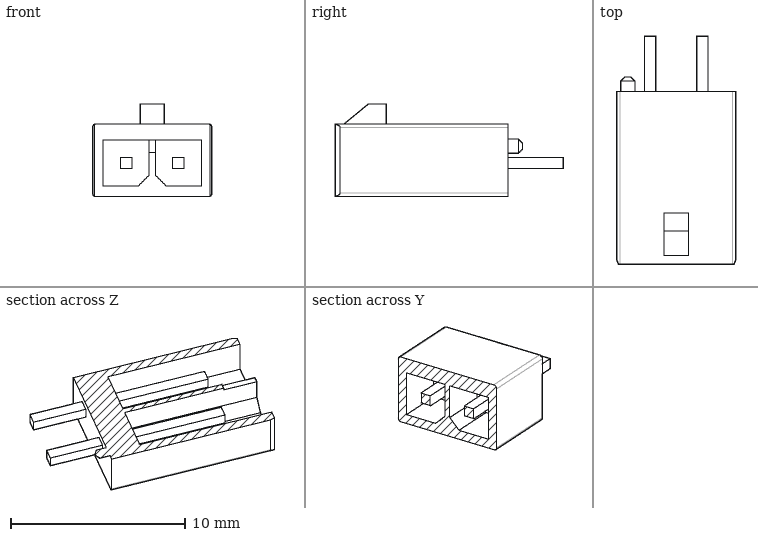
import cadquery as cq


body_width = 6.85
body_length = 9.92
body_height = 4.18
edge_radius = 0.2
lead_in_inset = 0.1
lead_in_length = 0.28

cavity_width = 5.64
cavity_height = 2.64
cavity_floor = 0.6
cavity_depth = 8.0
rib_thickness = 0.35
rib_foot = 0.64
rib_notch_height = 0.7
rib_notch_depth = 2.0

pin_pitch = 3.0
pin_size = 0.65
pin_height = 1.93
pin_tail_length = 3.17
pin_recess = 2.5

latch_width = 1.4
latch_height = 1.15
latch_toe = 0.51
latch_crest = 1.91
latch_heel = 2.93

peg_diameter = 0.84
peg_length = 0.84
peg_chamfer = 0.25
peg_x = -2.78
peg_height = 2.9

cavity_top = cavity_floor + cavity_height


def make_housing():
    """Block with rounded long edges and slightly tapered sides at the mating face."""
    block = cq.Workplane("XY").box(body_width, body_length, body_height, centered=(True, False, False))
    block = block.edges("|Y").fillet(edge_radius)
    half_width = body_width / 2
    face_half_width = half_width - lead_in_inset
    plan = (
        cq.Workplane("XY")
        .moveTo(-face_half_width, 0)
        .lineTo(face_half_width, 0)
        .lineTo(half_width, lead_in_length)
        .lineTo(half_width, body_length)
        .lineTo(-half_width, body_length)
        .lineTo(-half_width, lead_in_length)
        .close()
        .extrude(body_height)
    )
    return block.intersect(plan)


def make_pocket(side):
    """One contact pocket; side is -1 for the left and +1 for the right of the rib."""
    outer_x = side * cavity_width / 2
    rib_x = side * rib_thickness / 2
    foot_x = rib_x + side * rib_foot
    return (
        cq.Workplane("XZ")
        .moveTo(outer_x, cavity_floor)
        .lineTo(outer_x, cavity_top)
        .lineTo(rib_x, cavity_top)
        .lineTo(rib_x, cavity_floor + rib_foot)
        .lineTo(foot_x, cavity_floor)
        .close()
        .extrude(-cavity_depth)
    )


def make_rib_notch():
    """Clearance that lowers the top of the rib near the mating face."""
    return (
        cq.Workplane("XY", origin=(0, 0, cavity_top - rib_notch_height))
        .box(rib_thickness, rib_notch_depth, rib_notch_height, centered=(True, False, False))
    )


def make_pin(side):
    """Straight pin from inside the pocket through the rear wall."""
    length = body_length + pin_tail_length - pin_recess
    return (
        cq.Workplane("XZ", origin=(side * pin_pitch / 2, pin_recess, pin_height))
        .rect(pin_size, pin_size)
        .extrude(-length)
    )


def make_latch():
    """Ramp that rises from the mating side and drops off square at the back."""
    latch_top = body_height + latch_height
    return (
        cq.Workplane("YZ")
        .moveTo(latch_toe, body_height)
        .lineTo(latch_crest, latch_top)
        .lineTo(latch_heel, latch_top)
        .lineTo(latch_heel, body_height)
        .close()
        .extrude(latch_width / 2, both=True)
    )


def make_peg():
    """Round peg with a chamfered tip."""
    return (
        cq.Workplane("XZ", origin=(peg_x, body_length, peg_height))
        .circle(peg_diameter / 2)
        .extrude(-peg_length)
        .faces(">Y")
        .chamfer(peg_chamfer)
    )


sides = (-1, 1)

result = make_housing()
for side in sides:
    result = result.cut(make_pocket(side))
result = result.cut(make_rib_notch())
for side in sides:
    result = result.union(make_pin(side))
result = result.union(make_latch())
result = result.union(make_peg())